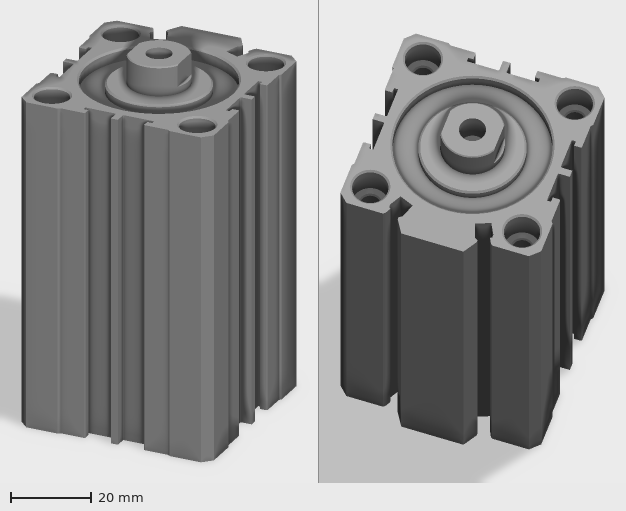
import cadquery as cq

width = 53.0
half_width = width / 2
overall_y = 57.0
corner_chamfer = 2.4
housing_height = 89.5

rail_crest_y = overall_y - half_width
rail_crest_half = 8.2
rail_nose_half = 10.4
rail_nose_top_y = 26.8
rail_nose_bottom_y = 26.2

groove_rail_corner = (9.6, 25.7)
groove_floor_inner = (8.2, 21.8)
groove_floor_outer = (12.0, 20.3)
groove_wall_top = (13.6, 23.4)
groove_lip_root = (13.6, 24.2)
groove_lip_bottom = (13.2, 24.3)
groove_lip_top = (13.2, 24.7)
groove_mouth = (13.9, 26.1)
groove_mouth_outer_x = 14.4

relief_depth = 0.5
relief_half_length = 15.4
relief_slope = 0.6
slot_mouth_half = 8.1
slot_undercut_half = 9.5
slot_lip_depth = 2.5
slot_depth = 3.6
slot_rib_half = 1.0
slot_edge_chamfer = 0.2

recess_radius = 20.0
recess_depth = 3.4
recess_chamfer = 0.5
collar_radius = 13.5
collar_height = 2.4
collar_chamfer = 0.5
recess_floor_z = housing_height - recess_depth
collar_top_z = recess_floor_z + collar_height

rod_radius = 8.1
rod_top_z = 96.5
rod_length = rod_top_z - collar_top_z
rod_chamfer = 0.3
rod_bore_radius = 3.4
flat_half_distance = 7.0
flat_length = 6.1
flat_cutter_width = rod_radius
flat_cutter_x = flat_half_distance + flat_cutter_width / 2

hole_offset = half_width - 6.5
bolt_radius = 2.5
bolt_chamfer = 0.4
counterbore_radius = 4.5
counterbore_depth = 7.7
counterbore_chamfer = 0.5
counterbore_floor_z = housing_height - counterbore_depth


def mirror_across_middle(points):
    """The same points on the -X side, in the reverse order."""
    return [(-x, y) for x, y in reversed(points)]


def extrude_outline(points):
    """Full-height prism over a closed outline."""
    return cq.Workplane().polyline(points).close().extrude(housing_height)


def column():
    """Square column with chamfered vertical edges."""
    square = cq.Workplane().rect(width, width).extrude(housing_height)
    return square.edges("|Z").chamfer(corner_chamfer)


def side_cutter():
    """Relief and T-slot of the -Y side, leaving the rib at the middle of the slot."""
    face_y = -half_width
    relief_y = face_y + relief_depth
    lip_y = face_y + slot_lip_depth
    floor_y = face_y + slot_depth
    half_outline = [
        (slot_rib_half, relief_y),
        (slot_rib_half, floor_y - slot_edge_chamfer),
        (slot_rib_half + slot_edge_chamfer, floor_y),
        (slot_undercut_half, floor_y),
        (slot_undercut_half, lip_y),
        (slot_mouth_half, lip_y),
        (slot_mouth_half, relief_y + slot_edge_chamfer),
        (slot_mouth_half + slot_edge_chamfer, relief_y),
        (relief_half_length - relief_slope, relief_y),
        (relief_half_length, face_y),
    ]
    return extrude_outline(half_outline + mirror_across_middle(half_outline))


def rail_gap_cutter():
    """Everything removed from the +Y side to leave room for the rail and its grooves."""
    half_outline = [
        groove_floor_inner,
        groove_floor_outer,
        groove_wall_top,
        groove_lip_root,
        groove_lip_bottom,
        groove_lip_top,
        groove_mouth,
        (groove_mouth_outer_x, half_width),
    ]
    return extrude_outline(half_outline + mirror_across_middle(half_outline))


def rail():
    """Rail prism, rooted between the two grooves."""
    half_outline = [
        groove_floor_inner,
        groove_rail_corner,
        (rail_nose_half, rail_nose_bottom_y),
        (rail_nose_half, rail_nose_top_y),
        (rail_crest_half, rail_crest_y),
    ]
    return extrude_outline(half_outline + mirror_across_middle(half_outline))


def recess_cutter():
    """Ring-shaped pocket around the collar, with both rims chamfered."""
    top_z = housing_height
    profile = [
        (0, top_z),
        (0, collar_top_z),
        (collar_radius - collar_chamfer, collar_top_z),
        (collar_radius, collar_top_z - collar_chamfer),
        (collar_radius, recess_floor_z),
        (recess_radius, recess_floor_z),
        (recess_radius, top_z - recess_chamfer),
        (recess_radius + recess_chamfer, top_z),
    ]
    return cq.Workplane("XZ").polyline(profile).close().revolve(360, (0, 0), (0, 1))


def mounting_hole_cutter():
    """Through hole with a chamfered counterbore, on the Z axis."""
    top_z = housing_height
    profile = [
        (0, 0),
        (bolt_radius, 0),
        (bolt_radius, counterbore_floor_z - bolt_chamfer),
        (bolt_radius + bolt_chamfer, counterbore_floor_z),
        (counterbore_radius, counterbore_floor_z),
        (counterbore_radius, top_z - counterbore_chamfer),
        (counterbore_radius + counterbore_chamfer, top_z),
        (0, top_z),
    ]
    return cq.Workplane("XZ").polyline(profile).close().revolve(360, (0, 0), (0, 1))


def make_housing():
    """Housing with its rail, side slots, top recess and mounting holes."""
    body = column().cut(rail_gap_cutter()).union(rail())
    for angle in (-90, 0, 90):
        body = body.cut(side_cutter().rotate((0, 0, 0), (0, 0, 1), angle))
    body = body.cut(recess_cutter())
    for x in (-hole_offset, hole_offset):
        for y in (-hole_offset, hole_offset):
            body = body.cut(mounting_hole_cutter().translate((x, y, 0)))
    return body


def rod_base_plane():
    """Horizontal plane at the top of the collar, where the rod starts."""
    return cq.Workplane().workplane(offset=collar_top_z)


def make_rod():
    """Rod end with a chamfered tip, two wrench flats and an axial bore."""
    rod = rod_base_plane().circle(rod_radius).extrude(rod_length)
    rod = rod.faces(">Z").chamfer(rod_chamfer)
    for flat_centre_x in (-flat_cutter_x, flat_cutter_x):
        flat_cutter = (
            cq.Workplane()
            .workplane(offset=rod_top_z - flat_length)
            .center(flat_centre_x, 0)
            .rect(flat_cutter_width, 2 * rod_radius)
            .extrude(flat_length)
        )
        rod = rod.cut(flat_cutter)
    return rod.cut(rod_base_plane().circle(rod_bore_radius).extrude(rod_length))


housing = make_housing()
rod = make_rod()
result = cq.Compound.makeCompound([housing.val(), rod.val()])